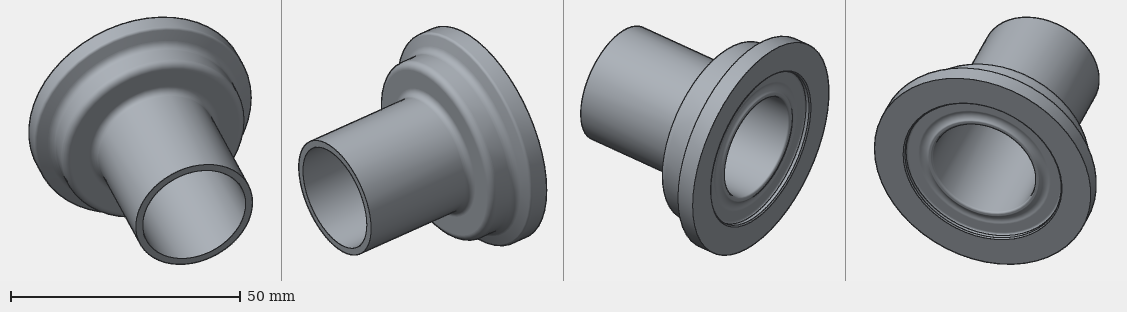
import cadquery as cq
import math

total_length = 39.0
flange_radius = 50.0 / 2
hub_radius = 42.0 / 2
tube_radius = 26.9 / 2
bore_radius = 23.7 / 2

flange_rim_length = 3.63
flange_taper = math.radians(20)
rim_round = 0.7
hub_root_round = 1.9
hub_start = 6.9
hub_end = 12.0
hub_round = 1.6
tube_root_round = 1.6

recess_radius = 36.1 / 2
recess_depth = 1.4
recess_mouth_chamfer = 0.3
mouth_radius = recess_radius + recess_mouth_chamfer
recess_corner_width = 0.5
recess_corner_depth = 0.3

groove_round = 1.9
groove_middle_radius = 14.28
groove_outer_radius = 14.9
groove_inner_radius = 12.95
floor_inner_radius = 15.25
lip_flat_outer_radius = 12.65
lip_flat_inner_radius = 12.3
lip_inner_round = lip_flat_inner_radius - bore_radius


def arc_point(center, radius, angle):
    """Point on a circle; the angle runs from +X (axial) towards the radial direction."""
    return (center[0] + radius * math.cos(angle), center[1] + radius * math.sin(angle))


def add_arc(path, center, radius, start_angle, end_angle):
    """Arc about a center, starting where the path now ends."""
    middle = arc_point(center, radius, (start_angle + end_angle) / 2)
    return path.threePointArc(middle, arc_point(center, radius, end_angle))


def add_line_and_arc(path, center, radius, start_angle, end_angle):
    """Line to the start of an arc, then the arc itself."""
    path = path.lineTo(*arc_point(center, radius, start_angle))
    return add_arc(path, center, radius, start_angle, end_angle)


def add_outside(path):
    """Flange rim, tapered flange back, hub and tube, from the front face to the tube end."""
    rim_center = (flange_rim_length, flange_radius - rim_round)
    root_center = (hub_start, hub_radius + hub_root_round)
    hub_center = (hub_end - hub_round, hub_radius - hub_round)
    tube_center = (hub_end + tube_root_round, tube_radius + tube_root_round)
    path = path.lineTo(0, flange_radius)
    path = add_line_and_arc(path, rim_center, rim_round, math.pi / 2, flange_taper)
    path = add_line_and_arc(path, root_center, hub_root_round, math.pi + flange_taper, 1.5 * math.pi)
    path = add_line_and_arc(path, hub_center, hub_round, math.pi / 2, 0)
    path = add_line_and_arc(path, tube_center, tube_root_round, math.pi, 1.5 * math.pi)
    return path.lineTo(total_length, tube_radius)


def add_inside(path):
    """Bore, tube lip, groove and recess, from the tube end back to the front face."""
    outer_angle = math.asin((groove_outer_radius - groove_middle_radius) / groove_round)
    inner_angle = math.asin((groove_middle_radius - groove_inner_radius) / groove_round)
    floor_round = (floor_inner_radius - groove_outer_radius) / math.sin(outer_angle)
    lip_outer_round = (groove_inner_radius - lip_flat_outer_radius) / math.sin(inner_angle)

    floor_center = (recess_depth + floor_round, floor_inner_radius)
    groove_center_x = floor_center[0] - (groove_round + floor_round) * math.cos(outer_angle)
    groove_center = (groove_center_x, groove_middle_radius)
    lip_outer_center_x = groove_center_x + (groove_round + lip_outer_round) * math.cos(inner_angle)
    lip_outer_center = (lip_outer_center_x, lip_flat_outer_radius)
    lip_face = lip_outer_center_x - lip_outer_round
    lip_inner_center = (lip_face + lip_inner_round, lip_flat_inner_radius)

    corner_angle = 2 * math.atan(recess_corner_depth / recess_corner_width)
    corner_round = recess_corner_width / math.sin(corner_angle)
    corner_center = (recess_depth - corner_round, recess_radius - recess_corner_width)

    path = path.lineTo(total_length, bore_radius)
    path = add_line_and_arc(path, lip_inner_center, lip_inner_round, 1.5 * math.pi, math.pi)
    path = add_line_and_arc(path, lip_outer_center, lip_outer_round, math.pi, math.pi - inner_angle)
    path = add_arc(path, groove_center, groove_round, -inner_angle, outer_angle)
    path = add_arc(path, floor_center, floor_round, math.pi + outer_angle, math.pi)
    path = add_line_and_arc(path, corner_center, corner_round, 0, corner_angle)
    path = path.lineTo(recess_mouth_chamfer, recess_radius)
    return path.lineTo(0, mouth_radius)


profile = cq.Workplane("XY").moveTo(0, mouth_radius)
profile = add_inside(add_outside(profile)).close()
result = profile.revolve(360, (0, 0, 0), (1, 0, 0))